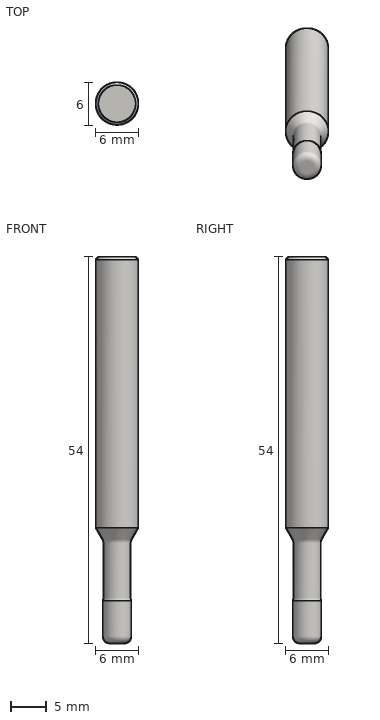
import cadquery as cq
import math

total_length = 54.0
shank_radius = 6.0 / 2
neck_radius = 3.85 / 2
head_radius = 4.0 / 2

head_length = 6.0
corner_radius = head_radius / 2

end_chamfer = 0.4
neck_end = 14.05
neck_fillet_radius = corner_radius
cone_angle = math.radians(30)

fillet_center_radius = neck_radius + neck_fillet_radius


def fillet_point(angle):
    """Point on the upper neck fillet, at an angle turned from the neck."""
    return (
        fillet_center_radius - neck_fillet_radius * math.cos(angle),
        neck_end + neck_fillet_radius * math.sin(angle),
    )


cone_start_radius, cone_start = fillet_point(cone_angle)
cone_end = cone_start + (shank_radius - cone_start_radius) / math.tan(cone_angle)

rim_angle = math.acos((fillet_center_radius - head_radius) / neck_fillet_radius)
neck_start = head_length + neck_fillet_radius * math.sin(rim_angle)
lower_fillet_middle = (
    fillet_center_radius - neck_fillet_radius * math.cos(rim_angle / 2),
    neck_start - neck_fillet_radius * math.sin(rim_angle / 2),
)


def make_cutting_head():
    """Cylindrical head with a rounded lower rim."""
    head = cq.Workplane("XY").circle(head_radius).extrude(head_length)
    return head.faces("<Z").edges().fillet(corner_radius)


def make_shank():
    """Shank, cone and neck, down to the flat joint on the head."""
    profile = (
        cq.Workplane("XZ")
        .moveTo(0, head_length)
        .lineTo(head_radius, head_length)
        .threePointArc(lower_fillet_middle, (neck_radius, neck_start))
        .lineTo(neck_radius, neck_end)
        .threePointArc(fillet_point(cone_angle / 2), fillet_point(cone_angle))
        .lineTo(shank_radius, cone_end)
        .lineTo(shank_radius, total_length)
        .lineTo(0, total_length)
        .close()
    )
    shank_body = profile.revolve(360, (0, 0, 0), (0, 1, 0))
    return shank_body.faces(">Z").edges().chamfer(end_chamfer)


cutting_head = make_cutting_head()
shank = make_shank()

result = cq.Compound.makeCompound([cutting_head.val(), shank.val()])